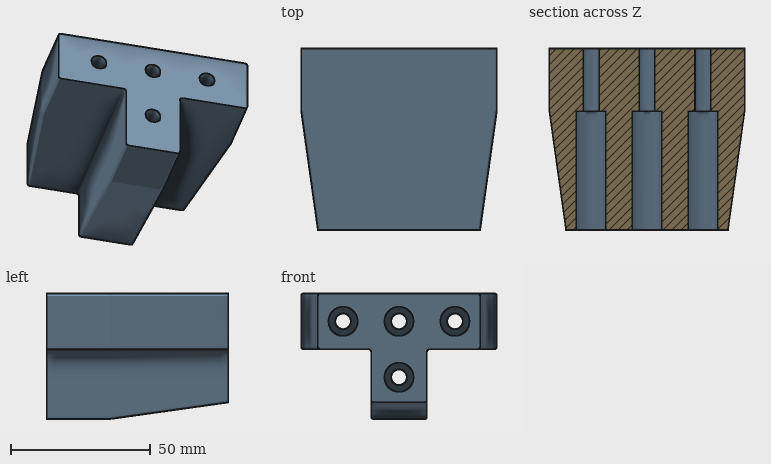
import cadquery as cq
import math

width = 70.0
depth = 65.0
height = 45.0

bar_thickness = 20.0
stem_width = bar_thickness
edge_radius = 1.0

taper_length = 42.5
taper_angle = 8.0
taper_slope = math.tan(math.radians(taper_angle))
taper_inset = taper_length * taper_slope

hole_diameter = 5.5
counterbore_diameter = 10.4
counterbore_depth = taper_length
hole_pitch = bar_thickness

bar_hole_z = -bar_thickness / 2
hole_centers = [(column * hole_pitch, bar_hole_z) for column in (-1, 0, 1)]
hole_centers.append((0, bar_hole_z - hole_pitch))


def make_bar():
    """Horizontal bar of the T, narrowed at both ends towards the front."""
    half_back = width / 2
    half_front = half_back - taper_inset
    outline = [
        (-half_front, 0),
        (half_front, 0),
        (half_back, taper_length),
        (half_back, depth),
        (-half_back, depth),
        (-half_back, taper_length),
    ]
    return cq.Workplane("XY").polyline(outline).close().extrude(-bar_thickness)


def make_stem():
    """Stem of the T, its foot rising towards the front."""
    outline = [
        (0, 0),
        (depth, 0),
        (depth, -height),
        (taper_length, -height),
        (0, taper_inset - height),
    ]
    return cq.Workplane("YZ").polyline(outline).close().extrude(stem_width / 2, both=True)


def round_long_edges(body):
    """Round every edge running front to back, straight or tapered."""
    straight = cq.Vector(0, 1, 0)
    bar_tapers = [cq.Vector(side * taper_slope, 1, 0) for side in (-1, 1)]
    stem_taper = cq.Vector(0, 1, -taper_slope)
    selector = cq.selectors.ParallelDirSelector(straight)
    for direction in bar_tapers + [stem_taper]:
        selector = selector + cq.selectors.ParallelDirSelector(direction)
    return body.edges(selector).fillet(edge_radius)


def cut_holes(body):
    """Through holes with counterbores sunk from the front face."""
    front = cq.Workplane("XZ").pushPoints(hole_centers)
    bores = front.circle(hole_diameter / 2).extrude(-depth)
    counterbores = front.circle(counterbore_diameter / 2).extrude(-counterbore_depth)
    return body.cut(bores).cut(counterbores)


result = cut_holes(round_long_edges(make_bar().union(make_stem())))